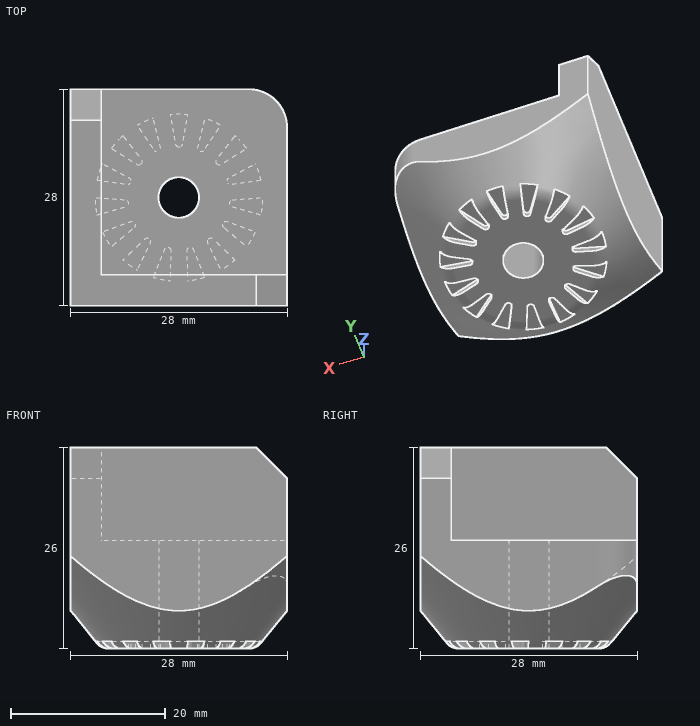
import cadquery as cq
import math

width = 28.0
floor_top = width / 2
wall_thickness = width / 7
wall_height = 3 * wall_thickness
wall_chamfer = wall_thickness
height = floor_top + wall_height
corner_radius = 5.0
hole_diameter = 5.2

foot_radius = 10.0
rim_height = 11.98
rim_radius = width / math.sqrt(2)
foot_fillet = 2.0
envelope_clearance = 0.28

notch_count = 15
notch_depth = 0.98
notch_end_centre = 7.0
notch_end_radius = 0.45
notch_taper = math.radians(10)
notch_first_angle = 90.0
notch_clearance = 2.25
notch_outer = foot_radius + notch_clearance

half = width / 2


def floor_block():
    """Square block with one rounded corner, up to the floor."""
    block = cq.Workplane("XY").rect(width, width).extrude(floor_top)
    return block.edges("|Z and >X and >Y").fillet(corner_radius)


def tapered_envelope():
    """Revolved cone with a filleted foot, extended upward as a cylinder."""
    envelope_radius = rim_radius + envelope_clearance
    slope = rim_height / (rim_radius - foot_radius)
    cone_top = slope * (envelope_radius - foot_radius)
    profile = (
        cq.Workplane("XZ")
        .moveTo(0, 0)
        .lineTo(foot_radius, 0)
        .lineTo(envelope_radius, cone_top)
        .lineTo(envelope_radius, height)
        .lineTo(0, height)
        .close()
    )
    return profile.revolve(360, (0, 0), (0, 1)).edges("<Z").fillet(foot_fillet)


def wall(plane):
    """Upright wall along the plane's X, clipped at its +X end and extruded from the axis."""
    return (
        cq.Workplane(plane)
        .moveTo(-half, floor_top)
        .lineTo(half, floor_top)
        .lineTo(half, height - wall_chamfer)
        .lineTo(half - wall_chamfer, height)
        .lineTo(-half, height)
        .close()
        .extrude(wall_thickness)
    )


def walls():
    """Two walls along the -X and -Y sides, each clipped at its free end."""
    y_side_wall = wall("XZ").translate((0, wall_thickness - half, 0))
    x_side_wall = wall("YZ").translate((-half, 0, 0))
    return y_side_wall.union(x_side_wall)


def notch():
    """One notch along +X: a round inner end with tangent walls opening outward."""
    tangent_x = notch_end_centre - notch_end_radius * math.sin(notch_taper)
    tangent_y = notch_end_radius * math.cos(notch_taper)
    outer_y = tangent_y + (notch_outer - tangent_x) * math.tan(notch_taper)
    return (
        cq.Workplane("XY")
        .moveTo(tangent_x, -tangent_y)
        .lineTo(notch_outer, -outer_y)
        .lineTo(notch_outer, outer_y)
        .lineTo(tangent_x, tangent_y)
        .threePointArc((notch_end_centre - notch_end_radius, 0), (tangent_x, -tangent_y))
        .close()
        .extrude(notch_depth)
    )


body = floor_block().intersect(tapered_envelope()).union(walls())

for index in range(notch_count):
    angle = notch_first_angle + index * 360 / notch_count
    body = body.cut(notch().rotate((0, 0, 0), (0, 0, 1), angle))

hole = cq.Workplane("XY").circle(hole_diameter / 2).extrude(height)
result = body.cut(hole)